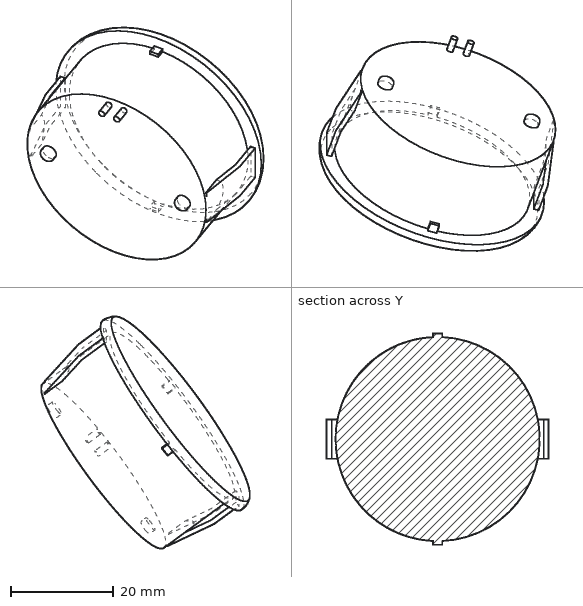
import cadquery as cq

total_depth = 22.1
pin_length = 3.0
body_end = total_depth - pin_length

flange_radius = 23.0
flange_thickness = 2.1
rim_width = 0.25
face_radius = 22.3

body_radius = 20.0

tab_width = 1.85
tab_length = 1.8
tab_outer = 20.7

clip_outer = 21.75
clip_thickness = 1.0
clip_width = 7.75
clip_gap = 0.28
clip_start = flange_thickness + clip_gap
clip_bend = 8.45
clip_end = 18.5
clip_end_outer = 19.8

pin_diameter = 1.3
pin_spacing = 3.35
pin_height = 18.2
post_diameter = 3.0
post_spacing = 30.0
post_length = 1.4
post_fillet = 0.5


def make_flange():
    """Disc with a convex front edge, revolved about the Y axis."""
    return (
        cq.Workplane("XY")
        .moveTo(0, -flange_thickness)
        .lineTo(flange_radius, -flange_thickness)
        .lineTo(flange_radius, rim_width - flange_thickness)
        .tangentArcPoint((face_radius, 0), relative=False)
        .lineTo(0, 0)
        .close()
        .revolve(360, (0, 0, 0), (0, 1, 0))
    )


def cylinder_along_y(diameter, start, length, x=0.0, z=0.0):
    """Cylinder running toward -Y from the given depth."""
    return (
        cq.Workplane("XZ", origin=(x, -start, z))
        .circle(diameter / 2)
        .extrude(length)
    )


def make_tabs():
    """One bar across the full height; its ends stand out of the body as two tabs."""
    tab_depth = flange_thickness + tab_length / 2
    bar = cq.Workplane("XY").box(tab_width, tab_length, 2 * tab_outer)
    return bar.translate((0, -tab_depth, 0))


def make_clip():
    """Bent strip on the +X side, its slanted end sinking into the body."""
    return (
        cq.Workplane("XY")
        .polyline([
            (clip_outer, -clip_start),
            (clip_outer, -clip_bend),
            (clip_end_outer, -clip_end),
            (clip_end_outer - clip_thickness, -clip_end),
            (clip_outer - clip_thickness, -clip_bend),
            (clip_outer - clip_thickness, -clip_start),
        ])
        .close()
        .extrude(clip_width / 2, both=True)
    )


def make_post(x):
    """Short post with a rounded free end."""
    post = cylinder_along_y(post_diameter, body_end, post_length, x=x)
    return post.faces("<Y").edges().fillet(post_fillet)


body = cylinder_along_y(2 * body_radius, flange_thickness, body_end - flange_thickness)
result = make_flange().union(body)
result = result.union(make_tabs())

clip = make_clip()
result = result.union(clip).union(clip.mirror("YZ"))

for side in (-1, 1):
    result = result.union(make_post(side * post_spacing / 2))
    pin_x = side * pin_spacing / 2
    result = result.union(cylinder_along_y(pin_diameter, body_end, pin_length, x=pin_x, z=pin_height))